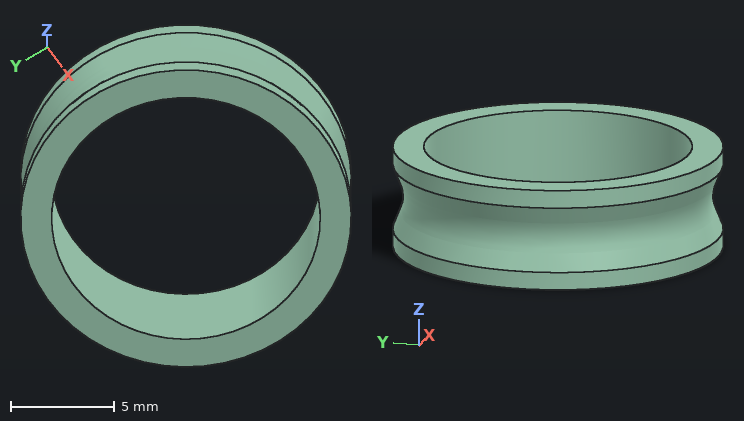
import cadquery as cq
import math

outer_diameter = 16.0
bore_diameter = 13.0
width = 5.0
rim_width = 0.88
groove_radius = 2.0
flank_angle = math.radians(22)

outer_radius = outer_diameter / 2
bore_radius = bore_diameter / 2
half_width = width / 2
groove_half_width = half_width - rim_width

tangent_height = groove_radius * math.sin(flank_angle)
flank_depth = (groove_half_width - tangent_height) * math.tan(flank_angle)
tangent_radius = outer_radius - flank_depth
root_radius = tangent_radius - groove_radius * (1 - math.cos(flank_angle))

section = (
    cq.Workplane("XZ")
    .moveTo(bore_radius, -half_width)
    .lineTo(outer_radius, -half_width)
    .lineTo(outer_radius, -groove_half_width)
    .lineTo(tangent_radius, -tangent_height)
    .threePointArc((root_radius, 0), (tangent_radius, tangent_height))
    .lineTo(outer_radius, groove_half_width)
    .lineTo(outer_radius, half_width)
    .lineTo(bore_radius, half_width)
    .close()
)

result = section.revolve(360, (0, 0, 0), (0, 1, 0))